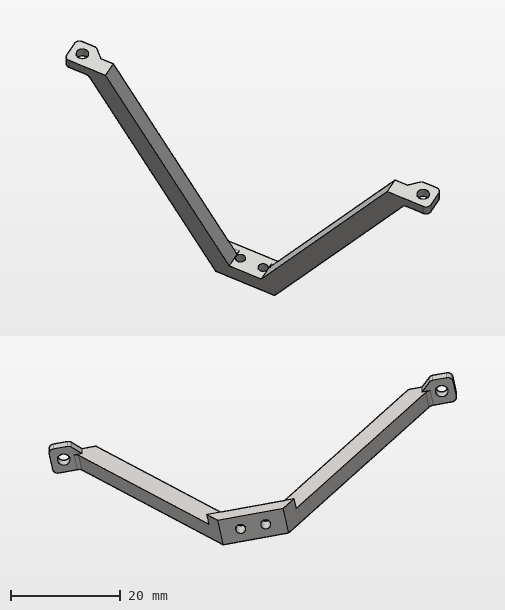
import cadquery as cq

height = 43.0
half_width = 37.5
arm_depth = 3.1
foot_depth = 5.1
ear_depth = 5.0
lean = 0.6

foot_half_width = 6.1
foot_height = 3.15
notch_half_width = 3.3
arm_inner_top = 29.0
ear_thickness = 2.0
arm_slope = (arm_inner_top - notch_half_width) / (height - foot_height)
ear_bottom = height - ear_thickness
arm_outer_top = foot_half_width + arm_slope * ear_bottom
armpit_radius = 1.0

ear_flat_length = 4.0
ear_corner_radius = 1.0
ear_hole_diameter = 2.25
ear_hole_inset = 2.4
foot_hole_diameter = 1.8
foot_hole_offset = 2.3
root_ramp_depth = 0.9
root_ramp_height = 0.2


def mirrored_outline(right_half):
    """Close a right-half outline, listed from the bottom up, with its mirror image."""
    left_half = [(-x, z) for x, z in reversed(right_half)]
    return cq.Workplane("XZ").polyline(right_half + left_half).close()


def make_frame():
    outline = [
        (foot_half_width, 0),
        (arm_outer_top, ear_bottom),
        (half_width, ear_bottom),
        (half_width, height),
        (arm_inner_top, height),
        (notch_half_width, foot_height),
    ]
    frame = mirrored_outline(outline).extrude(-arm_depth)
    armpits = cq.selectors.BoxSelector(
        (-arm_outer_top - 0.75, -0.75, ear_bottom - 0.75),
        (arm_outer_top + 0.75, arm_depth + 0.75, ear_bottom + 0.75),
    )
    return frame.edges("|Y").edges(armpits).fillet(armpit_radius)


def make_foot():
    outline = [
        (foot_half_width, 0),
        (foot_half_width + arm_slope * foot_height, foot_height),
    ]
    return mirrored_outline(outline).extrude(-foot_depth)


def make_arm_root(side):
    """Low ramp between the foot's top and the back of one arm."""
    inner = notch_half_width
    outer = foot_half_width + arm_slope * foot_height
    start = inner if side > 0 else -outer
    return (
        cq.Workplane("YZ", origin=(start, 0, 0))
        .polyline([
            (arm_depth, foot_height),
            (arm_depth + root_ramp_depth, foot_height),
            (arm_depth, foot_height + root_ramp_height),
        ])
        .close()
        .extrude(outer - inner)
    )


def make_ear_block(side):
    """Full-depth ear, stepping down at 45 degrees to the back of the arm."""
    step_start = half_width - ear_flat_length
    step_end = step_start - (ear_depth - arm_depth)
    points = [
        (half_width, 0),
        (half_width, ear_depth),
        (step_start, ear_depth),
        (step_end, arm_depth),
        (step_end, 0),
    ]
    return (
        cq.Workplane("XY", origin=(0, 0, ear_bottom))
        .polyline([(side * x, y) for x, y in points])
        .close()
        .extrude(ear_thickness)
    )


def hole(x, y, diameter, bottom, depth):
    return cq.Workplane("XY", origin=(x, y, bottom)).circle(diameter / 2).extrude(depth)


body = make_frame().union(make_foot())
for side in (-1, 1):
    body = body.union(make_arm_root(side))
    body = body.union(make_ear_block(side))

ear_corners = cq.selectors.BoxSelector(
    (half_width - ear_flat_length - 0.75, -0.75, ear_bottom - 0.75),
    (half_width + 0.75, ear_depth + 0.75, height + 0.75),
)
opposite_corners = cq.selectors.BoxSelector(
    (-half_width - 0.75, -0.75, ear_bottom - 0.75),
    (-half_width + ear_flat_length + 0.75, ear_depth + 0.75, height + 0.75),
)
body = body.edges("|Z").edges(ear_corners + opposite_corners).fillet(ear_corner_radius)

for side in (-1, 1):
    ear_x = side * (half_width - ear_hole_inset)
    body = body.cut(hole(ear_x, ear_depth / 2, ear_hole_diameter, ear_bottom, ear_thickness))
    foot_x = side * foot_hole_offset
    body = body.cut(hole(foot_x, foot_depth / 2, foot_hole_diameter, 0, foot_height))

shear = cq.Matrix([
    [1, 0, 0, 0],
    [0, 1, lean / height, 0],
    [0, 0, 1, 0],
])
result = cq.Workplane("XY").newObject([body.val().transformGeometry(shear)])